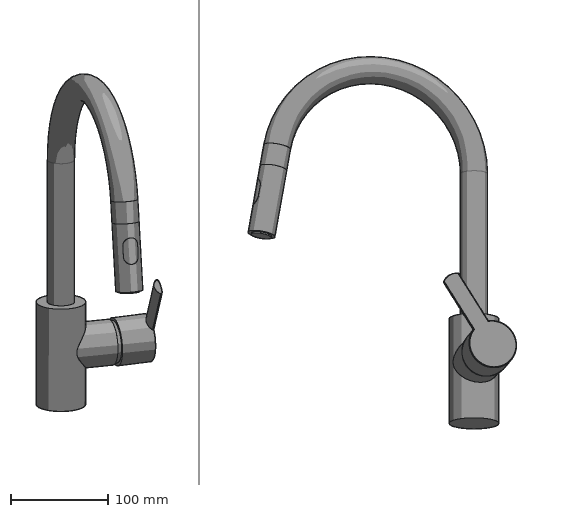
import cadquery as cq
import math

column_dia = 51.0
column_height = 110.0
branch_dia = 47.5
branch_height = 61.3
branch_end_y = 53.7

ring_end_dia = 43.0
ring_length = 4.5

cap_dia = 50.0
cap_length = 36.0
cap_end_y = branch_end_y + ring_length + cap_length
handle_tilt = 1.5
handle_edge_chamfer = 0.8
lever_angle = 32.4
lever_width = 18.5
lever_thickness = 6.0
lever_side_thickness = 2.0
lever_reach = 84.5
lever_tip_radius = 16.0
lever_tip_setback = 4.0

overall_height = 380.8
spout_dia = 28.0
bend_radius = 104.0
bend_angle = 170.0
bend_height = overall_height - spout_dia / 2 - bend_radius
outlet_tilt = math.radians(180 - bend_angle)
bend_end_x = bend_radius * (1 + math.cos(outlet_tilt))
bend_end_z = bend_height + bend_radius * math.sin(outlet_tilt)

collar_length = 23.0
head_length = 71.2
aerator_dia = 21.0
aerator_projection = 1.5
aerator_depth = 3.8

button_width = 16.0
button_length = 27.5
button_start = 15.0
button_depth = 4.5


def outlet_plane(distance):
    """Plane across the outlet axis, its normal pointing down that axis, past the end of the bend."""
    axis_x = math.sin(outlet_tilt)
    axis_z = -math.cos(outlet_tilt)
    return cq.Plane(
        origin=(bend_end_x + distance * axis_x, 0, bend_end_z + distance * axis_z),
        xDir=(math.cos(outlet_tilt), 0, math.sin(outlet_tilt)),
        normal=(axis_x, 0, axis_z),
    )


def outlet_cylinder(distance, diameter, length):
    return cq.Workplane(outlet_plane(distance)).circle(diameter / 2).extrude(length)


def branch_plane(y):
    """Plane across the branch axis, its normal pointing along +Y; local x is -X and local y is Z."""
    return cq.Workplane(cq.Plane(origin=(0, y, branch_height), xDir=(-1, 0, 0), normal=(0, 1, 0)))


def make_housing():
    column = cq.Workplane("XY").circle(column_dia / 2).extrude(column_height)
    branch = branch_plane(0).circle(branch_dia / 2).extrude(branch_end_y)
    return column.union(branch)


def make_lever():
    """Upright lever with a flat back, a bowed front and a rounded, bevelled tip."""
    half_width = lever_width / 2
    side_y = cap_end_y - lever_side_thickness
    bar = (
        cq.Workplane("XY", origin=(0, 0, branch_height))
        .moveTo(-half_width, cap_end_y)
        .lineTo(-half_width, side_y)
        .threePointArc((0, cap_end_y - lever_thickness), (half_width, side_y))
        .lineTo(half_width, cap_end_y)
        .close()
        .extrude(lever_reach)
    )
    tip_center = lever_reach - lever_tip_radius
    front_y = cap_end_y - lever_thickness
    shank = branch_plane(front_y).rect(2 * lever_width, 2 * tip_center).extrude(lever_thickness)
    tip_cone = (
        branch_plane(front_y)
        .center(0, tip_center)
        .circle(lever_tip_radius - lever_tip_setback)
        .workplane(offset=lever_thickness)
        .circle(lever_tip_radius)
        .loft()
    )
    return bar.intersect(shank.union(tip_cone))


def make_handle():
    start_y = branch_end_y + ring_length
    cap = branch_plane(start_y).circle(cap_dia / 2).extrude(cap_length)
    handle = cap.union(make_lever()).faces(">Y").edges().chamfer(handle_edge_chamfer)
    pivot = (0, start_y, branch_height)
    turned = handle.rotate(pivot, (0, start_y + 3.8, branch_height), lever_angle)
    return turned.rotate(pivot, (1, start_y, branch_height), handle_tilt)


def make_ring(handle):
    """Ring reaching a little past the tilted cap face and trimmed by it."""
    overlap = cap_dia / 2 * math.tan(math.radians(handle_tilt))
    ring = (
        branch_plane(branch_end_y)
        .circle(branch_dia / 2)
        .workplane(offset=ring_length + overlap)
        .circle(ring_end_dia / 2)
        .loft()
    )
    return ring.cut(handle)


def make_spout():
    path = (
        cq.Workplane("XZ")
        .moveTo(0, column_height)
        .lineTo(0, bend_height)
        .threePointArc((bend_radius, bend_height + bend_radius), (bend_end_x, bend_end_z))
    )
    return cq.Workplane("XY", origin=(0, 0, column_height)).circle(spout_dia / 2).sweep(path)


def make_collar():
    return outlet_cylinder(0, spout_dia, collar_length)


def make_aerator():
    start = collar_length + head_length - aerator_depth
    return outlet_cylinder(start, aerator_dia, aerator_depth + aerator_projection)


def make_button(head_blank):
    """Key-shaped piece of the head, from its outer side inward to the button depth."""
    middle = outlet_plane(collar_length + button_start + button_length / 2)
    key_plane = cq.Plane(
        origin=middle.toWorldCoords((spout_dia / 2 - button_depth, 0, 0)),
        xDir=middle.zDir,
        normal=middle.xDir,
    )
    key = cq.Workplane(key_plane).slot2D(button_length, button_width).extrude(2 * button_depth)
    return head_blank.intersect(key)


head_blank = outlet_cylinder(collar_length, spout_dia, head_length)
aerator = make_aerator()
button = make_button(head_blank)
head = head_blank.cut(aerator).cut(button)

housing = make_housing()
handle = make_handle()
ring = make_ring(handle)
spout = make_spout()
collar = make_collar()

result = cq.Compound.makeCompound(
    [
        housing.val(),
        ring.val(),
        handle.val(),
        spout.val(),
        collar.val(),
        head.val(),
        button.val(),
        aerator.val(),
    ]
)